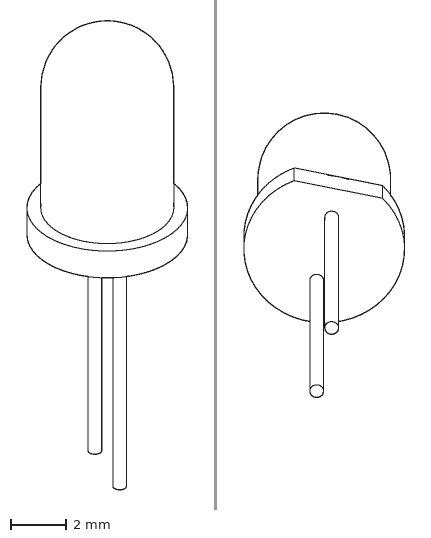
import cadquery as cq

lens_diameter = 4.8
lens_radius = lens_diameter / 2
flange_diameter = 5.8
flange_radius = flange_diameter / 2
flange_height = 1.15
body_height = 8.71
dome_base_z = body_height - lens_radius

flat_x = -lens_radius

lead_diameter = 0.5
lead_length = 10.0
lead_pitch = 2.54


def make_flange():
    """Round flange from z = 0 upward, with one flat side."""
    disc = cq.Workplane("XY").circle(flange_radius).extrude(flange_height)
    kept_side = (
        cq.Workplane("XY")
        .box(flange_diameter, flange_diameter, flange_height, centered=(False, True, False))
        .translate((flat_x, 0, 0))
    )
    return disc.intersect(kept_side)


def make_lens():
    """Domed lens, revolved about Z from its half profile."""
    dome_mid = cq.Vector(0, dome_base_z) + cq.Vector(1, 1).normalized() * lens_radius
    return (
        cq.Workplane("XZ")
        .moveTo(0, 0)
        .lineTo(lens_radius, 0)
        .lineTo(lens_radius, dome_base_z)
        .threePointArc((dome_mid.x, dome_mid.y), (0, body_height))
        .close()
        .revolve(360, (0, 0), (0, 1))
    )


def make_lead(x):
    """Round lead ending against the underside of the flange."""
    return cq.Workplane("XY").center(x, 0).circle(lead_diameter / 2).extrude(-lead_length)


housing = make_flange().union(make_lens())
leads = [make_lead(side * lead_pitch / 2) for side in (-1, 1)]

result = cq.Compound.makeCompound([housing.val(), *[lead.val() for lead in leads]])